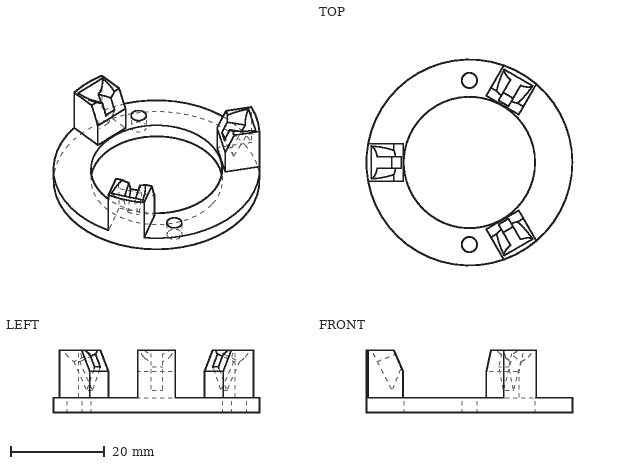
import cadquery as cq
import math

OUTER_DIAMETER = 44
BORE_DIAMETER = 28.0
RING_THICKNESS = 3.2
OUTER_RADIUS = OUTER_DIAMETER / 2

HOLE_DIAMETER = 3.2
HOLE_OFFSET = 17.5

TOTAL_HEIGHT = 13.35
POST_WIDTH = 8.0
POST_INNER = 14.12
BEVEL_HEIGHT = 4.55
BEVEL_DEPTH = 2.0
POST_ANGLES = (60, 180, 300)

POCKET_OUTER = 20.9
BACK_WALL_ANGLE = 63
VALLEY_RADIUS = 16.55
SLOT_WIDTH = 2.45
SLOT_MOUTH_RADIUS = 14.55

TROUGH_TOP_WIDTH = 7.05
TROUGH_AXIS_RISE = 0.7
TROUGH_TILT = 22

CLEARANCE = 4.4


def side_profile(points, width):
    """Extrude a radius-height outline symmetrically to the given width."""
    return cq.Workplane("XZ").polyline(points).close().extrude(width / 2, both=True)


def make_post_block():
    """Bevelled block that overshoots the ring's outer edge."""
    outer_end = OUTER_RADIUS + 2 * CLEARANCE
    block_top = TOTAL_HEIGHT + CLEARANCE
    return side_profile(
        [
            (POST_INNER, 0),
            (outer_end, 0),
            (outer_end, block_top),
            (POST_INNER + BEVEL_DEPTH, block_top),
            (POST_INNER + BEVEL_DEPTH, TOTAL_HEIGHT),
            (POST_INNER, TOTAL_HEIGHT - BEVEL_HEIGHT),
        ],
        POST_WIDTH,
    )


def pocket_section(width):
    """V-shaped recess: sloping back wall and a floor that climbs to the bevel."""
    bevel_slope = BEVEL_HEIGHT / BEVEL_DEPTH
    back_slope = math.tan(math.radians(BACK_WALL_ANGLE))
    valley_height = TOTAL_HEIGHT - (POCKET_OUTER - VALLEY_RADIUS) * back_slope
    mouth_height = TOTAL_HEIGHT - BEVEL_HEIGHT + (SLOT_MOUTH_RADIUS - POST_INNER) * bevel_slope
    floor_slope = (mouth_height - valley_height) / (VALLEY_RADIUS - SLOT_MOUTH_RADIUS)
    return side_profile(
        [
            (POCKET_OUTER, TOTAL_HEIGHT),
            (VALLEY_RADIUS, valley_height),
            (POST_INNER, valley_height + (VALLEY_RADIUS - POST_INNER) * floor_slope),
            (POST_INNER, TOTAL_HEIGHT + CLEARANCE),
            (POCKET_OUTER, TOTAL_HEIGHT + CLEARANCE),
        ],
        width,
    )


def make_trough():
    """Cylinder whose axis rises toward the ring centre."""
    tilt = math.radians(TROUGH_TILT)
    radius = math.hypot(TROUGH_TOP_WIDTH / 2, TROUGH_AXIS_RISE)
    inward = cq.Vector(-math.cos(tilt), 0, math.sin(tilt))
    upward = cq.Vector(math.sin(tilt), 0, math.cos(tilt))
    start = cq.Vector(POCKET_OUTER, 0, TOTAL_HEIGHT) + upward * TROUGH_AXIS_RISE - inward * CLEARANCE
    length = POCKET_OUTER - POST_INNER + 2 * CLEARANCE
    return cq.Workplane(cq.Solid.makeCylinder(radius, length, start, inward))


def make_pocket():
    rounded_pocket = pocket_section(POST_WIDTH).intersect(make_trough())
    return rounded_pocket.union(pocket_section(SLOT_WIDTH))


def at_post(shape, angle):
    """Turn a shape built along +X to the given post position."""
    return shape.rotate((0, 0, 0), (0, 0, 1), angle)


def make_waste():
    """Material above the ring, all around the posts."""
    waste = (
        cq.Workplane("XY")
        .workplane(offset=RING_THICKNESS)
        .circle(OUTER_RADIUS + CLEARANCE)
        .extrude(TOTAL_HEIGHT - RING_THICKNESS + CLEARANCE / 2)
    )
    block = make_post_block()
    for angle in POST_ANGLES:
        waste = waste.cut(at_post(block, angle))
    return waste


blank = cq.Workplane("XY").circle(OUTER_RADIUS).circle(BORE_DIAMETER / 2).extrude(TOTAL_HEIGHT)
result = blank.cut(make_waste())

pocket = make_pocket()
for post_angle in POST_ANGLES:
    result = result.cut(at_post(pocket, post_angle))

hole_points = [(0, HOLE_OFFSET), (0, -HOLE_OFFSET)]
holes = cq.Workplane("XY").pushPoints(hole_points).circle(HOLE_DIAMETER / 2).extrude(RING_THICKNESS)
result = result.cut(holes)